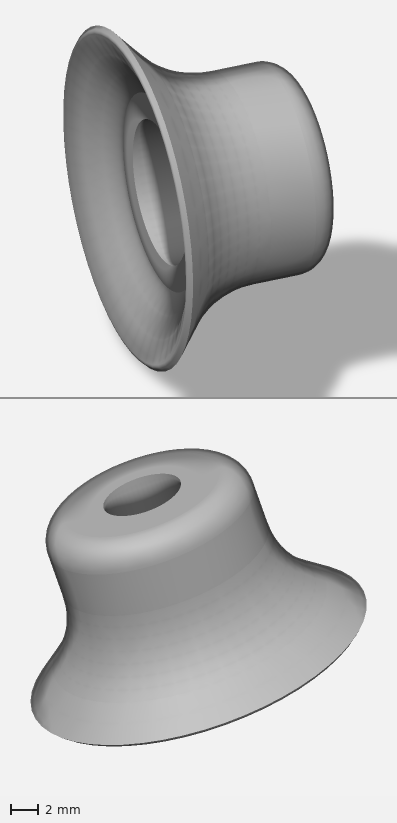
import cadquery as cq
import math

total_length = 14.0
rim_radius = 12.98
body_radius = 8.0
crown_fillet = 2.0
hole_radius = 3.0
counterbore_radius = 5.5
floor_radius = 7.5
floor_depth = 2.75
counterbore_bottom = 7.0

flare_radius = 8.0
flare_angle = math.radians(47.5)
flare_start = 8.45
flare_end = flare_start - flare_radius * math.sin(flare_angle)
flare_end_radius = body_radius + flare_radius * (1 - math.cos(flare_angle))
flare_mid = (
    body_radius + flare_radius * (1 - math.cos(flare_angle / 2)),
    flare_start - flare_radius * math.sin(flare_angle / 2),
)

rim_height = 0.36
lip_round = 0.247
lip_center_radius = 12.52
land_angle = math.radians(45)
mouth_angle = math.radians(33)


def lip_point(tilt):
    """Point on the lip round where the surface leans outward by the given tilt."""
    return (
        lip_center_radius + lip_round * math.sin(tilt),
        lip_round * (1 - math.cos(tilt)),
    )


lip_inner = lip_point(-mouth_angle)
lip_crest = lip_point(0)
lip_outer = lip_point(land_angle)

mouth_bow = 0.15
mouth_run = lip_inner[0] - floor_radius
mouth_drop = floor_depth - lip_inner[1]
mouth_chord = math.hypot(mouth_run, mouth_drop)
mouth_mid = (
    floor_radius + mouth_run / 2 - mouth_bow * mouth_drop / mouth_chord,
    floor_depth - mouth_drop / 2 - mouth_bow * mouth_run / mouth_chord,
)

crown_diagonal = crown_fillet * (1 - math.sqrt(0.5))

half_section = (
    cq.Workplane("XY")
    .moveTo(hole_radius, counterbore_bottom)
    .lineTo(counterbore_radius, counterbore_bottom)
    .lineTo(counterbore_radius, floor_depth)
    .lineTo(floor_radius, floor_depth)
    .threePointArc(mouth_mid, lip_inner)
    .threePointArc(lip_crest, lip_outer)
    .lineTo(rim_radius, rim_height)
    .lineTo(flare_end_radius, flare_end)
    .threePointArc(flare_mid, (body_radius, flare_start))
    .lineTo(body_radius, total_length - crown_fillet)
    .threePointArc(
        (body_radius - crown_diagonal, total_length - crown_diagonal),
        (body_radius - crown_fillet, total_length),
    )
    .lineTo(hole_radius, total_length)
    .close()
)

result = half_section.revolve(360, (0, 0, 0), (0, 1, 0))